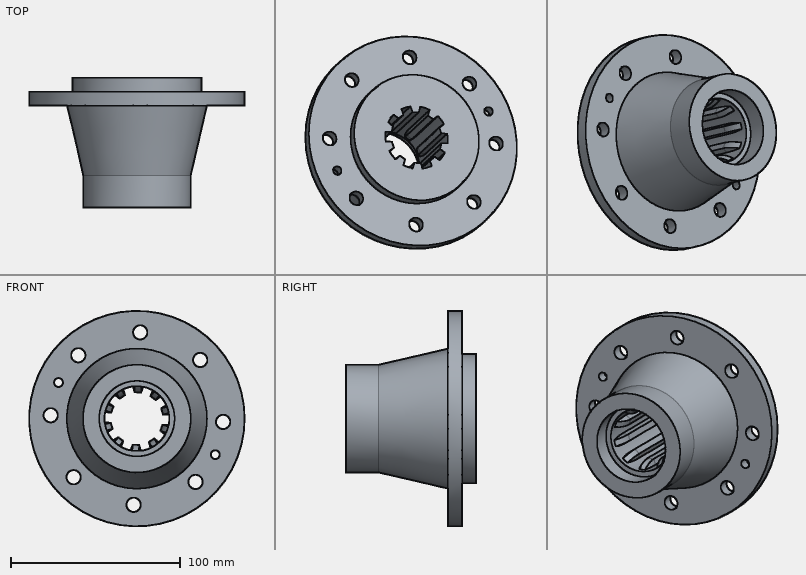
import cadquery as cq
import math

neck_length = 19
cone_length = 41.0
flange_thickness = 8.2
spigot_length = 8.2

flange_diameter = 126.9
spigot_diameter = 76.1
cone_base_diameter = 82.5
neck_diameter = 63.5

counterbore_diameter = 44.4
counterbore_depth = 12.7
bore_diameter = 38.1
spline_tip_diameter = 30.7
spline_count = 10
tooth_tip_width = 3.8
tooth_flank_angle = 180 / spline_count
tooth_embedding = 1.3
tooth_start = 16.7
tooth_ramp_radius = 21.6

hole_circle_diameter = 101.5
bolt_hole_count = 8
bolt_hole_diameter = 8.2
pin_hole_diameter = 5.1
pin_hole_count = 2

pattern_angle = -2.2
pin_angle = pattern_angle - 180 / bolt_hole_count

cone_end = neck_length + cone_length
flange_end = cone_end + flange_thickness
total_length = flange_end + spigot_length
bore_radius = bore_diameter / 2
tip_radius = spline_tip_diameter / 2


def make_revolved(points):
    """Revolve an outline of (radius, y) points about the Y axis."""
    return cq.Workplane("XY").polyline(points).close().revolve(360, (0, 0), (0, 1))


def make_body():
    neck_radius = neck_diameter / 2
    flange_radius = flange_diameter / 2
    spigot_radius = spigot_diameter / 2
    return make_revolved([
        (0, 0),
        (neck_radius, 0),
        (neck_radius, neck_length),
        (cone_base_diameter / 2, cone_end),
        (flange_radius, cone_end),
        (flange_radius, flange_end),
        (spigot_radius, flange_end),
        (spigot_radius, total_length),
        (0, total_length),
    ])


def make_bore():
    """Counterbore followed by the through bore."""
    counterbore_radius = counterbore_diameter / 2
    return make_revolved([
        (0, 0),
        (counterbore_radius, 0),
        (counterbore_radius, counterbore_depth),
        (bore_radius, counterbore_depth),
        (bore_radius, total_length),
        (0, total_length),
    ])


def make_tooth():
    """Tooth whose front end rises from the bore wall along an arc that blends into the tooth tip."""
    tooth_depth = bore_radius - tip_radius
    outer_radius = bore_radius + tooth_embedding
    tip_half_width = tooth_tip_width / 2
    spread = (outer_radius - tip_radius) * math.tan(math.radians(tooth_flank_angle))
    outer_half_width = tip_half_width + spread

    ramp_length = math.sqrt(2 * tooth_ramp_radius * tooth_depth - tooth_depth**2)
    ramp_end = tooth_start + ramp_length
    section = cq.Wire.makePolygon(
        [
            cq.Vector(tip_radius, ramp_end, -tip_half_width),
            cq.Vector(outer_radius, ramp_end, -outer_half_width),
            cq.Vector(outer_radius, ramp_end, outer_half_width),
            cq.Vector(tip_radius, ramp_end, tip_half_width),
        ],
        close=True,
    )
    ramp_path = cq.Edge.makeTangentArc(
        cq.Vector(tip_radius, ramp_end, 0),
        cq.Vector(0, -1, 0),
        cq.Vector(bore_radius, tooth_start, 0),
    )

    ramp = cq.Solid.sweep(section, [], ramp_path, mode=cq.Vector(0, 1.3, 0))
    straight = cq.Solid.extrudeLinear(section, [], cq.Vector(0, total_length - ramp_end, 0))
    return cq.Workplane(ramp).union(cq.Workplane(straight))


def add_teeth(body):
    tooth = make_tooth()
    for index in range(spline_count):
        angle = pattern_angle + (index + 0.5) * 360 / spline_count
        body = body.union(tooth.rotate((0, 0, 0), (0, 1, 0), -angle))
    return body


def make_flange_holes(diameter, count, first_angle):
    return (
        cq.Workplane("XZ", origin=(0, total_length, 0))
        .polarArray(hole_circle_diameter / 2, first_angle, 360, count)
        .circle(diameter / 2)
        .extrude(total_length)
    )


result = (
    add_teeth(make_body().cut(make_bore()))
    .cut(make_flange_holes(bolt_hole_diameter, bolt_hole_count, pattern_angle))
    .cut(make_flange_holes(pin_hole_diameter, pin_hole_count, pin_angle))
)